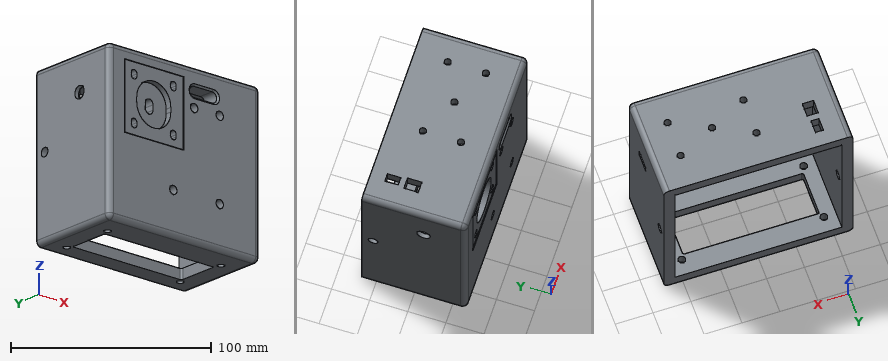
import cadquery as cq

WIDTH = 100.0
DEPTH = 55.0
HEIGHT = 94.0
SIDE_WALL = 6.0
FRONT_WALL = 10.0
TOP_WALL = 6.0
BOTTOM_WALL = 6.0
EDGE_RADIUS = 3.0
CUT_DEPTH = 12.0

FRONT_Y = -DEPTH / 2
LEFT_X = -WIDTH / 2
TOP_Z = HEIGHT / 2

MOUNT_X = -20.0
MOUNT_Z = 20.5
PLATE_SIZE = 39.0
PLATE_RECESS = 0.5
HUB_WIDTH = 22.5
HUB_HEIGHT = 25.0
HUB_DEPTH = 4.0
SHAFT_SLOT_WIDTH = 5.0
SHAFT_SLOT_HEIGHT = 8.0
SCREW_PITCH = 26.0
SCREW_SLOT_WIDTH = 3.7
SCREW_SLOT_HEIGHT = 5.0

PORT_X = 13.0
PORT_Z = 34.0
PORT_LENGTH = 18.0
PORT_HEIGHT = 6.0
PORT_CHAMFER = 1.0

BOARD_HOLE_DIAMETER = 4.8
BOARD_HOLES = [(6.3, 25.0), (23.2, 25.0), (-7.5, -22.0), (23.2, -22.0)]

TOP_PATTERN_X = 15.0
TOP_PITCH_X = 40.0
TOP_PITCH_Y = 20.0
TOP_HOLE_DIAMETER = 3.5
CONNECTOR_X = -35.0
CONNECTORS = [(16.0, 4.2, 7.0), (5.5, 5.9, 7.5)]

CABLE_Y = -5.0
CABLE_Z = 26.0
CABLE_DIAMETER = 7.0
CABLE_WEB = 2.4
CABLE_POCKET_SIZE = 13.0
PIN_Y = 21.5
PIN_Z = 1.5
PIN_DIAMETER = 5.0
SIDE_SLOT_Z = 25.0
SIDE_SLOT_LENGTH = 10.0
SIDE_SLOT_HEIGHT = 3.3

WINDOW_LENGTH = 72.0
WINDOW_DEPTH = 24.4
WINDOW_Y = 4.1
WINDOW_CORNER_RADIUS = 1.0
DISPLAY_PITCH_X = 75.0
DISPLAY_PITCH_Y = 31.0
DISPLAY_Y = 3.5
DISPLAY_HOLE_DIAMETER = 3.8


def front_plane(x, z):
    """Sketch plane on the front face; local axes are +X and +Z, normal is -Y."""
    return cq.Workplane("XZ", origin=(x, FRONT_Y, z))


def top_plane(x, y):
    return cq.Workplane("XY", origin=(x, y, TOP_Z))


def bottom_plane(x, y):
    return cq.Workplane("XY", origin=(x, y, -TOP_Z))


def left_plane(y, z):
    """Sketch plane on the left face; local axes are +Y and +Z, normal is +X."""
    return cq.Workplane("YZ", origin=(LEFT_X, y, z))


def make_shell():
    shell = cq.Workplane("XY").box(WIDTH, DEPTH, HEIGHT)
    shell = shell.edges("|Y or <Y").fillet(EDGE_RADIUS)
    cavity = cq.Workplane("XY").box(
        WIDTH - 2 * SIDE_WALL, DEPTH - FRONT_WALL, HEIGHT - TOP_WALL - BOTTOM_WALL
    )
    return shell.cut(cavity.translate((0, FRONT_WALL / 2, (BOTTOM_WALL - TOP_WALL) / 2)))


def cut_control_mount(body):
    plane = front_plane(MOUNT_X, MOUNT_Z)
    plate = plane.rect(PLATE_SIZE, PLATE_SIZE).extrude(-PLATE_RECESS)
    hub = plane.slot2D(HUB_HEIGHT, HUB_WIDTH, 90).extrude(-HUB_DEPTH)
    shaft = plane.slot2D(SHAFT_SLOT_HEIGHT, SHAFT_SLOT_WIDTH, 90).extrude(-CUT_DEPTH)
    screws = (
        plane.rect(SCREW_PITCH, SCREW_PITCH, forConstruction=True)
        .vertices()
        .slot2D(SCREW_SLOT_HEIGHT, SCREW_SLOT_WIDTH, 90)
        .extrude(-CUT_DEPTH)
    )
    return body.cut(plate).cut(hub).cut(shaft).cut(screws)


def cut_oval_port(body):
    plane = front_plane(PORT_X, PORT_Z)
    port = plane.slot2D(PORT_LENGTH, PORT_HEIGHT).extrude(-CUT_DEPTH)
    mouth = plane.slot2D(
        PORT_LENGTH + 2 * PORT_CHAMFER, PORT_HEIGHT + 2 * PORT_CHAMFER
    ).extrude(-PORT_CHAMFER, taper=45)
    return body.cut(port).cut(mouth)


def cut_board_holes(body):
    holes = front_plane(0, 0).pushPoints(BOARD_HOLES).circle(BOARD_HOLE_DIAMETER / 2)
    return body.cut(holes.extrude(-CUT_DEPTH))


def cut_top_openings(body):
    plane = top_plane(TOP_PATTERN_X, 0)
    corners = plane.rect(TOP_PITCH_X, TOP_PITCH_Y, forConstruction=True).vertices()
    body = body.cut(corners.circle(TOP_HOLE_DIAMETER / 2).extrude(-CUT_DEPTH))
    body = body.cut(plane.circle(TOP_HOLE_DIAMETER / 2).extrude(-CUT_DEPTH))
    for y, size_x, size_y in CONNECTORS:
        body = body.cut(top_plane(CONNECTOR_X, y).rect(size_x, size_y).extrude(-CUT_DEPTH))
    return body


def cut_side_openings(body):
    cable = left_plane(CABLE_Y, CABLE_Z).circle(CABLE_DIAMETER / 2).extrude(CUT_DEPTH)
    pocket = (
        left_plane(CABLE_Y, CABLE_Z)
        .workplane(offset=CABLE_WEB)
        .rect(CABLE_POCKET_SIZE, CABLE_POCKET_SIZE)
        .extrude(SIDE_WALL - CABLE_WEB)
    )
    pin = left_plane(PIN_Y, PIN_Z).circle(PIN_DIAMETER / 2).extrude(WIDTH)
    slot = (
        left_plane(CABLE_Y, SIDE_SLOT_Z)
        .workplane(offset=WIDTH)
        .rect(SIDE_SLOT_LENGTH, SIDE_SLOT_HEIGHT)
        .extrude(-CUT_DEPTH)
    )
    return body.cut(cable).cut(pocket).cut(pin).cut(slot)


def cut_display_opening(body):
    window = (
        bottom_plane(0, WINDOW_Y)
        .rect(WINDOW_LENGTH, WINDOW_DEPTH)
        .extrude(CUT_DEPTH)
        .edges("|Z")
        .fillet(WINDOW_CORNER_RADIUS)
    )
    screws = (
        bottom_plane(0, DISPLAY_Y)
        .rect(DISPLAY_PITCH_X, DISPLAY_PITCH_Y, forConstruction=True)
        .vertices()
        .circle(DISPLAY_HOLE_DIAMETER / 2)
        .extrude(CUT_DEPTH)
    )
    return body.cut(window).cut(screws)


result = make_shell()
result = cut_control_mount(result)
result = cut_oval_port(result)
result = cut_board_holes(result)
result = cut_top_openings(result)
result = cut_side_openings(result)
result = cut_display_opening(result)